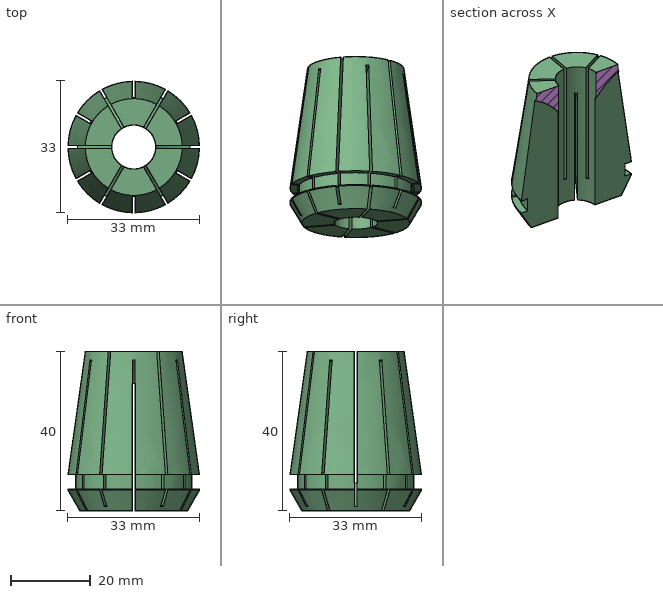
import cadquery as cq
import math

length = 40.0
outer_radius = 33.0 / 2
bore_diameter = 11.0

nose_angle = math.radians(30)
taper_angle = math.radians(8)
rim_start = 5.15
groove_bottom = 5.45
groove_top = 9.05
groove_radius = 14.6

nose_radius = outer_radius - rim_start * math.tan(nose_angle)
top_radius = outer_radius - (length - groove_top) * math.tan(taper_angle)

slots_per_end = 6
slot_pitch = 360 / slots_per_end
slot_width = 0.7
saw_radius = length / 2
saw_height = length / 2
top_saw_offset = 20.7
bottom_saw_offset = 21.6
overcut = 0.4


def make_body():
    """Revolved outside shape with the clearance bore through it."""
    profile = [
        (0, 0),
        (nose_radius, 0),
        (outer_radius, rim_start),
        (outer_radius, groove_bottom),
        (groove_radius, groove_bottom),
        (groove_radius, groove_top),
        (outer_radius, groove_top),
        (top_radius, length),
        (0, length),
    ]
    body = cq.Workplane("XZ").polyline(profile).close().revolve(360, (0, 0), (0, 1))
    return body.faces(">Z").workplane().hole(bore_diameter)


def make_slot(saw_offset, open_end, angle):
    """Radial slot from the axis outwards, open at the height open_end, turned to angle about Z."""
    blade = (
        cq.Workplane("XZ")
        .center(saw_offset, saw_height)
        .circle(saw_radius)
        .extrude(slot_width / 2, both=True)
    )
    open_part = (
        cq.Workplane("XZ")
        .moveTo(0, saw_height)
        .lineTo(0, open_end)
        .lineTo(outer_radius + overcut, open_end)
        .lineTo(outer_radius + overcut, saw_height)
        .close()
        .extrude(slot_width / 2, both=True)
    )
    return blade.union(open_part).rotate((0, 0, 0), (0, 0, 1), angle)


result = make_body()
for index in range(slots_per_end):
    top_angle = index * slot_pitch
    bottom_angle = top_angle + slot_pitch / 2
    result = result.cut(make_slot(top_saw_offset, length + overcut, top_angle))
    result = result.cut(make_slot(bottom_saw_offset, -overcut, bottom_angle))